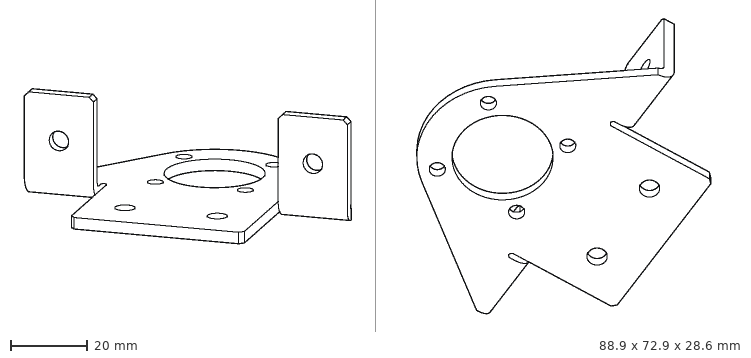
import cadquery as cq
import math

thickness = 3.175
inner_bend_radius = thickness / 2
outer_bend_radius = inner_bend_radius + thickness

overall_width = 88.9
nose_radius = 22.5
plate_length = 72.86
foot_front_y = nose_radius - plate_length
corner_chamfer = 1.19

tab_width = 19.05
tab_height = 25.4
foot_length = 25.4
tab_front_y = foot_front_y + foot_length
tab_top_z = thickness + tab_height
tab_outer_x = overall_width / 2
tab_inner_x = tab_outer_x - tab_width
bend_start_y = tab_front_y + outer_bend_radius
bend_taper = 0.45
helix_samples = 20
shoulder_x = tab_outer_x - bend_taper

slot_width = thickness / 2
slot_radius = slot_width / 2
foot_half_width = tab_inner_x - slot_width
slot_overrun = 2.3
slot_end_y = bend_start_y + slot_overrun

bore_diameter = 26.5
bolt_circle_diameter = 35.0
bolt_hole_diameter = 4.2
mount_hole_diameter = 5.3
mount_hole_half_spacing = 12.7
mount_hole_edge_distance = 12.7

clearance = 1.0


def make_plate():
    """Flat plate: round nose, straight flanks tangent to it, two slots and a chamfered foot."""
    shoulder_distance = math.hypot(shoulder_x, bend_start_y)
    tangent_angle = math.atan2(bend_start_y, shoulder_x) + math.acos(nose_radius / shoulder_distance)
    tangent_x = nose_radius * math.cos(tangent_angle)
    tangent_y = nose_radius * math.sin(tangent_angle)
    slot_shoulder_y = slot_end_y - slot_radius
    slot_center_x = tab_inner_x - slot_radius
    chamfer_x = foot_half_width - corner_chamfer
    chamfer_y = foot_front_y + corner_chamfer
    return (
        cq.Workplane("XY")
        .moveTo(tangent_x, tangent_y)
        .threePointArc((0, nose_radius), (-tangent_x, tangent_y))
        .lineTo(-shoulder_x, bend_start_y)
        .lineTo(-tab_inner_x, bend_start_y)
        .lineTo(-tab_inner_x, slot_shoulder_y)
        .threePointArc((-slot_center_x, slot_end_y), (-foot_half_width, slot_shoulder_y))
        .lineTo(-foot_half_width, chamfer_y)
        .lineTo(-chamfer_x, foot_front_y)
        .lineTo(chamfer_x, foot_front_y)
        .lineTo(foot_half_width, chamfer_y)
        .lineTo(foot_half_width, slot_shoulder_y)
        .threePointArc((slot_center_x, slot_end_y), (tab_inner_x, slot_shoulder_y))
        .lineTo(tab_inner_x, bend_start_y)
        .lineTo(shoulder_x, bend_start_y)
        .close()
        .extrude(thickness)
    )


def make_plate_holes():
    """Cutters for the bore, its four bolt holes and the two foot mounting holes."""
    bolt_square = bolt_circle_diameter / math.sqrt(2)
    mount_hole_y = foot_front_y + mount_hole_edge_distance
    bore = cq.Workplane("XY").circle(bore_diameter / 2).extrude(thickness)
    bolt_holes = (
        cq.Workplane("XY")
        .rect(bolt_square, bolt_square, forConstruction=True)
        .vertices()
        .circle(bolt_hole_diameter / 2)
        .extrude(thickness)
    )
    mount_holes = (
        cq.Workplane("XY")
        .pushPoints([(side * mount_hole_half_spacing, mount_hole_y) for side in (-1, 1)])
        .circle(mount_hole_diameter / 2)
        .extrude(thickness)
    )
    return bore.union(bolt_holes).union(mount_holes)


def bend_side_curve(radius):
    """Helix at the given radius that widens steadily from the plate edge to the tab edge."""
    def point(turn):
        angle = turn * math.pi / 2
        return (
            shoulder_x + bend_taper * turn,
            bend_start_y - radius * math.sin(angle),
            outer_bend_radius - radius * math.cos(angle),
        )

    return cq.Workplane("XY").parametricCurve(point, N=helix_samples, makeWire=False).val()


def make_bend():
    """Quarter-turn bend on the +X side, trimmed at its outer end to the widening curve."""
    diagonal = math.cos(math.pi / 4)
    axis_z = outer_bend_radius
    bend = (
        cq.Workplane("YZ", origin=(tab_inner_x, 0, 0))
        .moveTo(bend_start_y, 0)
        .threePointArc(
            (bend_start_y - outer_bend_radius * diagonal, axis_z - outer_bend_radius * diagonal),
            (tab_front_y, axis_z),
        )
        .lineTo(tab_front_y + thickness, axis_z)
        .threePointArc(
            (bend_start_y - inner_bend_radius * diagonal, axis_z - inner_bend_radius * diagonal),
            (bend_start_y, thickness),
        )
        .close()
        .extrude(tab_width)
    )
    side_face = cq.Face.makeRuledSurface(
        bend_side_curve(inner_bend_radius - clearance),
        bend_side_curve(outer_bend_radius + clearance),
    )
    trim = cq.Solid.extrudeLinear(side_face, cq.Vector(bend_taper + clearance, 0, 0))
    return bend.cut(cq.Workplane(obj=trim))


def make_tab():
    """Upright tab on the +X side with chamfered top corners and one centred hole."""
    hole_x = tab_outer_x - tab_width / 2
    hole_z = tab_top_z - tab_height / 2
    tab = (
        cq.Workplane("XY")
        .box(tab_width, thickness, tab_top_z - outer_bend_radius, centered=False)
        .translate((tab_inner_x, tab_front_y, outer_bend_radius))
        .edges("|Y and >Z")
        .chamfer(corner_chamfer)
    )
    hole = (
        cq.Workplane("XZ", origin=(hole_x, tab_front_y, hole_z))
        .circle(mount_hole_diameter / 2)
        .extrude(-thickness)
    )
    return tab.cut(hole)


right_flange = make_bend().union(make_tab())
left_flange = right_flange.mirror("YZ")
plate = make_plate().cut(make_plate_holes())
result = plate.union(right_flange).union(left_flange)